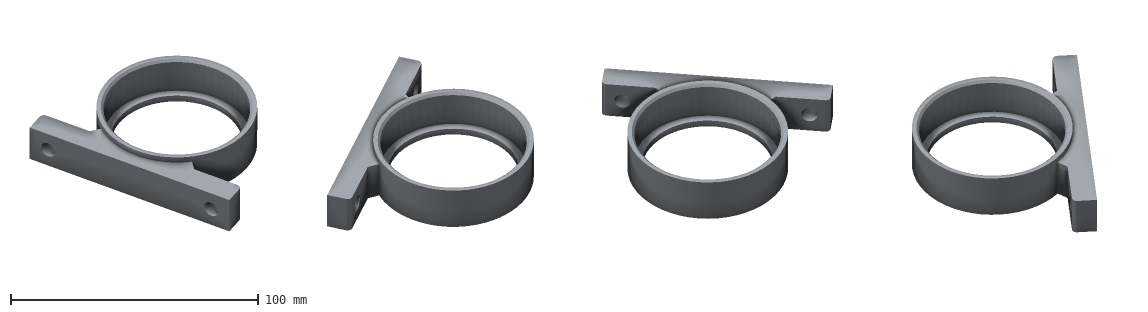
import cadquery as cq

foot_length = 93.0
foot_thickness = 10.0
foot_height = 16.4
corner_radius = 2.0
screw_hole_diameter = 6.7
screw_hole_spacing = 76.0

overall_depth = 71.0
ring_height = 19.0
ring_diameter = 65.0
seat_diameter = 59.3
bore_diameter = 53.0
ledge_height = 3.0
rim_chamfer = 1.0
ring_center_y = overall_depth - ring_diameter / 2

web_half_width = 24.4


def make_foot():
    """Bar with rounded vertical edges on the ring side."""
    return (
        cq.Workplane("XY")
        .box(foot_length, foot_thickness, foot_height, centered=(True, False, False))
        .edges("|Z and >Y")
        .fillet(corner_radius)
    )


def make_web():
    """Wedge from the foot to the ring axis; the ring interior is cut out later."""
    return (
        cq.Workplane("XY")
        .moveTo(-web_half_width, foot_thickness)
        .lineTo(web_half_width, foot_thickness)
        .lineTo(0, ring_center_y)
        .close()
        .extrude(foot_height)
    )


def ring_disc(diameter, bottom):
    """Disc on the ring axis, from the given level up to the rim."""
    return (
        cq.Workplane("XY", origin=(0, ring_center_y, bottom))
        .circle(diameter / 2)
        .extrude(ring_height - bottom)
    )


def rim_cone():
    """Conical lead-in that bevels the inner edge of the rim."""
    seat_radius = seat_diameter / 2
    return (
        cq.Workplane("XZ", origin=(0, ring_center_y, 0))
        .moveTo(0, ring_height - rim_chamfer)
        .lineTo(seat_radius, ring_height - rim_chamfer)
        .lineTo(seat_radius + rim_chamfer, ring_height)
        .lineTo(0, ring_height)
        .close()
        .revolve(360, (0, 0), (0, 1))
    )


def screw_holes():
    """Pair of through holes along Y at mid-height of the foot."""
    half_spacing = screw_hole_spacing / 2
    return (
        cq.Workplane("XZ", origin=(0, 0, foot_height / 2))
        .pushPoints([(-half_spacing, 0), (half_spacing, 0)])
        .circle(screw_hole_diameter / 2)
        .extrude(-foot_thickness)
    )


body = make_foot().union(make_web()).union(ring_disc(ring_diameter, 0))
result = (
    body.cut(ring_disc(bore_diameter, 0))
    .cut(ring_disc(seat_diameter, ledge_height))
    .cut(rim_cone())
    .cut(screw_holes())
)